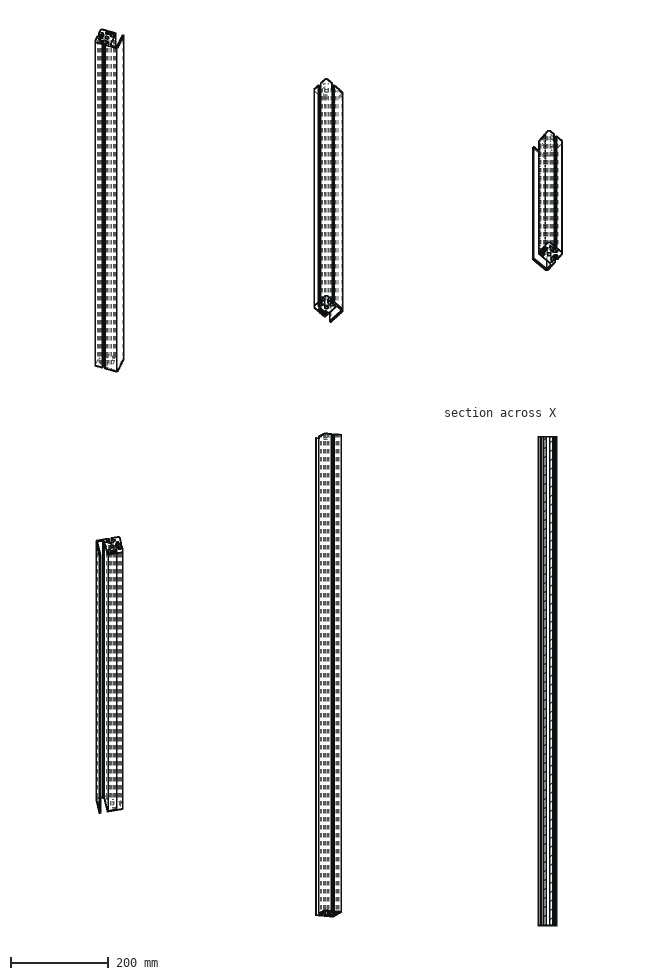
import cadquery as cq

length = 1000.0
width = 50.0
depth = 38.0
left = -width / 2
right = width / 2
front = -depth / 2
back = depth / 2
corner_radius = 4.0

core_right = 8.0
flange_thickness = 3.0
floor_thickness = 3.0
inner_corner_chamfer = 3.0
back_corner_radius = 2.0

axis_offset = 20.0
axis_x = left + axis_offset
axis_y = front + axis_offset
bore_diameter = 6.8

slot_opening = 5.0
slot_inner_width = 18.0
slot_mouth_chamfer = 1.0
slot_floor_width = 8.0
lip_thickness = 5.0
slot_shoulder_depth = 7.0
slot_depth = 11.0

wall_thickness = 2.5
chamber_left = -12.0
chamber_right = core_right - wall_thickness
chamber_top = 14.0
chamber_floor = 11.0
chamber_notch_left = 0.0
chamber_notch_floor = 8.0
slit_thickness = 1.0
slit_top = back - 2.0


def block(x_min, x_max, y_min, y_max):
    """Full-length rectangular bar between the given sides."""
    return (
        cq.Workplane("XY", origin=(0, 0, -length / 2))
        .center((x_min + x_max) / 2, (y_min + y_max) / 2)
        .rect(x_max - x_min, y_max - y_min)
        .extrude(length)
    )


def prism(points):
    """Full-length bar with a polygonal section."""
    return cq.Workplane("XY", origin=(0, 0, -length / 2)).polyline(points).close().extrude(length)


def t_slot():
    """T-slot entering from X = 0 towards +X, centred on Y = 0."""
    upper_side = [
        (0, slot_opening / 2 + slot_mouth_chamfer),
        (slot_mouth_chamfer, slot_opening / 2),
        (lip_thickness, slot_opening / 2),
        (lip_thickness, slot_inner_width / 2),
        (slot_shoulder_depth, slot_inner_width / 2),
        (slot_depth, slot_floor_width / 2),
    ]
    lower_side = [(x, -y) for x, y in reversed(upper_side)]
    return prism(upper_side + lower_side)


def outer_body():
    """Core and upright flange joined by a common floor."""
    envelope = block(left, right, front, back)
    envelope = envelope.edges("|Z and (<X or (>X and <Y))").fillet(corner_radius)
    channel = block(core_right, right - flange_thickness, front + floor_thickness, back)
    channel = channel.edges("|Z and <X and <Y").chamfer(inner_corner_chamfer)
    body = envelope.cut(channel)
    back_corner = cq.selectors.NearestToPointSelector((core_right, back, 0))
    return body.edges("|Z").edges(back_corner).fillet(back_corner_radius)


def back_chamber():
    """Shallow closed chamber with a deeper notch at its right end."""
    return prism([
        (chamber_left, chamber_top),
        (chamber_right, chamber_top),
        (chamber_right, chamber_notch_floor),
        (chamber_notch_left, chamber_notch_floor),
        (chamber_notch_left, chamber_floor),
        (chamber_left, chamber_floor),
    ])


left_slot = t_slot().translate((left, axis_y, 0))
front_slot = t_slot().rotate((0, 0, 0), (0, 0, 1), 90).translate((axis_x, front, 0))
bore = (
    cq.Workplane("XY", origin=(axis_x, axis_y, -length / 2))
    .circle(bore_diameter / 2)
    .extrude(length)
)
slit = block(chamber_left, chamber_right, slit_top - slit_thickness, slit_top)

result = outer_body()
for cavity in (left_slot, front_slot, bore, back_chamber(), slit):
    result = result.cut(cavity)